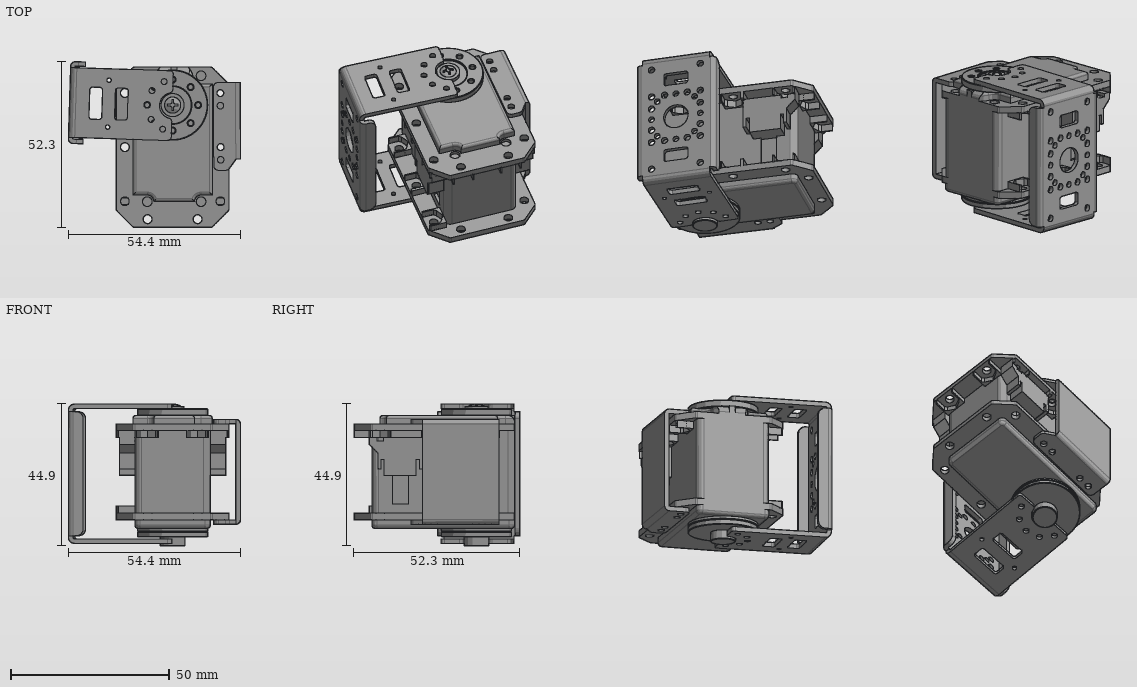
import cadquery as cq
import math


flange_half_width = 17.85
flange_rear = 12.0
flange_front = -38.6
flange_corner = 5.5
flange_corner_radius = 1.0
flange_top = 15.1
flange_thickness = 2.05
flange_inner = flange_top - flange_thickness

body_half_width = 11.9
body_front = -33.0
body_corner_radius = 2.1
base_bottom = -17.9
base_corner_radius = 1.7
base_edge_radius = 1.1

mount_hole_radius = 1.35
side_hole_x = 15.05
side_hole_rear = 3.8
side_hole_pitch = 17.1
side_hole_ys = [side_hole_rear - i * side_hole_pitch for i in range(3)]
front_hole_x = 7.9
front_hole_y = -36.0

boss_half_width = 3.5
boss_height = 2.3
boss_depth = 5.95
channel_half_width = 3.075
channel_end = 0.9
nut_half_width = 2.42
nut_shoulder = 1.7
nut_tip = 2.95
middle_boss_extension = 0.55

cover_top = 17.8
cover_half_width = 12.5
cover_rear = 6.7
cover_edge_radius = 0.9
screw_mid_x = 0.5
screw_half_spacing = 8.5
screw_front_y = -30.45
screw_rear_y = 9.25
screw_recess_radius = 1.5
screw_recess_depth = 1.1
front_notch_radius = 2.05
lobe_radius = 6.35
lobe_center_y = 7.5
lobe_rear_radius = 2.05
key_width = 1.9
key_length = 1.95

guide_half_width = 16.8
guide_top = flange_inner - boss_height
guide_slot_width = 2.05
guide_slot_depth = 1.05
wall_recess_depth = 1.0
wall_recess_rear = -21.45
wall_recess_front = -26.55
wall_recess_bottom = -10.1
guide_bottom = -1.1

disc_radius = 11.1
disc_chamfer = 0.2
horn_top = 19.95
horn_hole_count = 8
hole_circle_radius = 8.05
horn_hole_radius = 0.8
horn_hole_chamfer = 0.25
horn_recess_radius = 5.9
horn_recess_depth = 0.55
horn_recess_chamfer = 0.2

washer_radius = 3.65
washer_top = 20.6
screw_head_radius = 2.55
screw_rim_height = 0.1
screw_dome_height = 0.7
cross_reach = 1.7
cross_arm_width = 0.55
cross_core_width = 1.4
cross_depth = 0.55

idler_top = -18.9
idler_bottom = -20.55
bush_radius = 3.9
bush_bottom = -23.45
bush_chamfer = 0.2

sheet = 1.45
tight_bend_radius = 1.5

arm_bend_radius = 2.0
hinge_angle = -1.8
hinge_offset_y = -0.19
hinge_top = 21.45
hinge_bottom = -22.6
hinge_mid = (hinge_top + hinge_bottom) / 2
hinge_back = -32.6
hinge_end = -0.1
hinge_half_width = 11.05
hinge_corner_radius = 1.1
pivot_notch_radius = 4.15
web_half_width = 12.95
wing_half_height = 19.6
wing_end = -27.85
wing_corner_radius = 2.2
arm_hole_radius = 0.9
arm_hole_step = 34.4
arm_small_hole_x = -20.3
arm_small_hole_y = 7.4
arm_small_hole_radius = 0.65
arm_slot_xs = (-24.25, -16.15)
arm_slot_width = 3.95
arm_slot_length = 10.05
slot_corner_radius = 0.8
web_slot_length = 7.9
web_slot_width = 4.2
web_slot_z = 13.45
web_opening_radius = 4.0
web_pitch = 8.05
web_inner_pitch = 3.75
web_diagonal = 6.15
web_end_hole_z = 17.55
web_hole_radius = 1.05
web_small_hole_radius = 0.9

bracket_angle = 0.3
bracket_inner_x = 12.9
bracket_outer_x = 21.4
bracket_rear = 7.05
bracket_front = -20.65
bracket_web_front = -17.2
bracket_slant_end_x = 17.4
bracket_corner_radius = 1.5
bracket_hole_ys = (3.7, -0.25, -13.3, -17.35)
bracket_hole_radius = 1.05


def prism(points, z_low, z_high):
    """A vertical prism over a closed polygon."""
    return cq.Workplane("XY").workplane(offset=z_low).polyline(points).close().extrude(z_high - z_low)


def block(x_low, x_high, y_low, y_high, z_low, z_high):
    size = (x_high - x_low, y_high - y_low, z_high - z_low)
    return cq.Workplane("XY").box(*size, centered=False).translate((x_low, y_low, z_low))


def rods(points, radius, z_low, z_high):
    """Vertical cylinders at the given places."""
    return (
        cq.Workplane("XY").workplane(offset=z_low).pushPoints(points).circle(radius).extrude(z_high - z_low)
    )


def disc(radius, z_low, z_high):
    return rods([(0, 0)], radius, z_low, z_high)


def polar(radius, degrees):
    angle = math.radians(degrees)
    return (radius * math.cos(angle), radius * math.sin(angle))


def flange_outline():
    shoulder_x = flange_half_width - flange_corner
    return [
        (-shoulder_x, flange_front),
        (shoulder_x, flange_front),
        (flange_half_width, flange_front + flange_corner),
        (flange_half_width, flange_rear - flange_corner),
        (shoulder_x, flange_rear),
        (-shoulder_x, flange_rear),
        (-flange_half_width, flange_rear - flange_corner),
        (-flange_half_width, flange_front + flange_corner),
    ]


def flange_plate(z_low, z_high):
    return prism(flange_outline(), z_low, z_high).edges("|Z").fillet(flange_corner_radius)


def nut_boss(extension=0):
    """Boss on the inner face of the upper flange, around a hole at its origin and open toward -X.

    The nut pocket ends in a point and is reached through a wider channel. An extension thickens
    the wall on the -Y side.
    """
    outer_x = side_hole_x - flange_half_width
    low = flange_inner - boss_height
    wall_front = -boss_half_width - extension
    wall = block(outer_x, outer_x + boss_depth, wall_front, boss_half_width, low, flange_inner)
    pocket = prism(
        [
            (outer_x, -channel_half_width),
            (channel_end, -channel_half_width),
            (nut_shoulder, -nut_half_width),
            (nut_tip, 0),
            (nut_shoulder, nut_half_width),
            (channel_end, channel_half_width),
            (outer_x, channel_half_width),
        ],
        low,
        flange_inner,
    )
    return wall.cut(pocket)


def left_bosses():
    """The upper bosses along the -X edge; the middle one has a thicker front wall."""
    extensions = (0, middle_boss_extension, 0)
    return [
        nut_boss(extension).translate((-side_hole_x, y, 0))
        for y, extension in zip(side_hole_ys, extensions)
    ]


def front_bosses():
    turned = nut_boss().rotate((0, 0, 0), (0, 0, 1), 90)
    return [turned.translate((x, front_hole_y, 0)) for x in (-front_hole_x, front_hole_x)]


def all_bosses():
    """The upper flange has bosses on three edges, the lower one only along the -X edge."""
    left = left_bosses()
    right = [boss.mirror("YZ") for boss in left]
    lower = [boss.mirror("XY") for boss in left]
    return left + right + front_bosses() + lower


def mounting_flanges():
    envelope = flange_plate(-flange_top, flange_top)
    flanges = flange_plate(flange_inner, flange_top).union(flange_plate(-flange_top, -flange_inner))
    for boss in all_bosses():
        flanges = flanges.union(boss.intersect(envelope))
    hole_places = [(sx * side_hole_x, y) for sx in (-1, 1) for y in side_hole_ys]
    hole_places += [(sx * front_hole_x, front_hole_y) for sx in (-1, 1)]
    return flanges.cut(rods(hole_places, mount_hole_radius, -flange_top, flange_top))


def case_body():
    body = block(
        -body_half_width, body_half_width, body_front, flange_rear, -flange_inner, flange_inner
    )
    body = body.edges("|Z").fillet(body_corner_radius)
    base = block(-body_half_width, body_half_width, body_front, flange_rear, base_bottom, -flange_inner)
    base = base.edges("|Z").fillet(base_corner_radius).faces("<Z").edges().fillet(base_edge_radius)
    boss = disc(disc_radius, idler_top, base_bottom).faces("<Z").chamfer(disc_chamfer)
    return body.union(base).union(boss)


def wall_recess(side):
    """Shallow pocket in a side wall, below the cable guide."""
    x_low, x_high = sorted((side * (body_half_width - wall_recess_depth), side * body_half_width))
    return block(
        x_low, x_high, wall_recess_front, wall_recess_rear, wall_recess_bottom, guide_bottom
    )


def cable_guides():
    """Blocks on both side walls, with a tab at each end of their lower edge."""
    guide_front = side_hole_ys[-1] - boss_half_width
    outline = [
        (-16.9, guide_top),
        (-16.9, 0.9),
        (-17.95, 0.9),
        (-17.95, 3.95),
        (-19.0, 3.95),
        (-19.0, guide_bottom),
        (-29.2, guide_bottom),
        (-29.2, 3.95),
        (-30.1, 3.95),
        (-30.1, 0.9),
        (-31.05, 0.9),
        (-31.05, 5.9),
        (guide_front, 8.65),
        (guide_front, guide_top),
    ]
    guides = (
        cq.Workplane("YZ").polyline(outline).close().extrude(guide_half_width, both=True)
    )
    slot_y = side_hole_ys[-1]
    slot = block(
        -guide_half_width,
        guide_half_width,
        slot_y - guide_slot_width / 2,
        slot_y + guide_slot_width / 2,
        guide_top - guide_slot_depth,
        guide_top,
    )
    core = block(
        -body_half_width,
        body_half_width,
        flange_front,
        flange_rear,
        -flange_inner,
        flange_inner,
    )
    return guides.cut(slot).cut(core)


def top_cover():
    """Raised cover with notches around its four screws and a rounded lobe at the rear."""
    left_screw = screw_mid_x - screw_half_spacing
    right_screw = screw_mid_x + screw_half_spacing
    corner_y = screw_front_y + front_notch_radius
    rear_notch_radius = screw_rear_y - cover_rear
    lobe_end_x = screw_half_spacing - rear_notch_radius
    front_x, front_y = polar(front_notch_radius, 45)
    rear_x, rear_y = polar(rear_notch_radius, 45)
    outline = (
        cq.Workplane("XY")
        .workplane(offset=flange_top)
        .moveTo(-cover_half_width, corner_y)
        .lineTo(left_screw, corner_y)
        .threePointArc(
            (left_screw + front_x, screw_front_y + front_y),
            (left_screw + front_notch_radius, screw_front_y),
        )
        .lineTo(right_screw - front_notch_radius, screw_front_y)
        .threePointArc((right_screw - front_x, screw_front_y + front_y), (right_screw, corner_y))
        .lineTo(cover_half_width, corner_y)
        .lineTo(cover_half_width, cover_rear)
        .lineTo(right_screw, cover_rear)
        .threePointArc(
            (right_screw - rear_x, screw_rear_y - rear_y), (screw_mid_x + lobe_end_x, screw_rear_y)
        )
        .threePointArc(
            (screw_mid_x, lobe_center_y + lobe_radius), (screw_mid_x - lobe_end_x, screw_rear_y)
        )
        .threePointArc((left_screw + rear_x, screw_rear_y - rear_y), (left_screw, cover_rear))
        .lineTo(-cover_half_width, cover_rear)
        .close()
    )
    cover = outline.extrude(cover_top - flange_top).faces(">Z").edges().fillet(cover_edge_radius)
    rear_limit = block(
        -cover_half_width, cover_half_width, body_front, flange_rear, flange_top, cover_top
    )
    rear_limit = rear_limit.edges("|X").edges(">Y and >Z").fillet(lobe_rear_radius)
    key = block(
        screw_mid_x - key_width / 2,
        screw_mid_x + key_width / 2,
        flange_rear - key_length,
        flange_rear,
        flange_top,
        cover_top,
    )
    return cover.intersect(rear_limit).union(key)


def screw_recesses():
    places = [
        (screw_mid_x + side * screw_half_spacing, y)
        for side in (-1, 1)
        for y in (screw_front_y, screw_rear_y)
    ]
    return rods(places, screw_recess_radius, flange_top - screw_recess_depth, flange_top)


def servo_case():
    case = case_body().union(mounting_flanges()).union(top_cover()).union(cable_guides())
    case = case.cut(screw_recesses())
    for side in (-1, 1):
        case = case.cut(wall_recess(side))
    return case


def output_horn():
    horn = disc(disc_radius, cover_top, horn_top).edges().chamfer(disc_chamfer)
    recess_floor = horn_top - horn_recess_depth
    recess = disc(horn_recess_radius + horn_recess_chamfer, recess_floor, horn_top)
    recess = recess.faces("<Z").chamfer(horn_recess_chamfer)
    places = [polar(hole_circle_radius, i * 360 / horn_hole_count) for i in range(horn_hole_count)]
    horn = horn.cut(recess)
    for x, y in places:
        horn = horn.cut(chamfered_hole_tool().translate((x, y, 0)))
    return horn


def chamfered_hole_tool():
    """A through hole of the horn, widened by a chamfer at its top."""
    wide_radius = horn_hole_radius + horn_hole_chamfer
    return (
        cq.Workplane("XZ")
        .polyline(
            [
                (0, cover_top),
                (horn_hole_radius, cover_top),
                (horn_hole_radius, horn_top - horn_hole_chamfer),
                (wide_radius, horn_top),
                (0, horn_top),
            ]
        )
        .close()
        .revolve()
    )


def horn_washer():
    return disc(washer_radius, horn_top - horn_recess_depth, washer_top)


def horn_screw():
    """Domed screw head with a cross recess, standing on the washer."""
    rim_z = washer_top + screw_rim_height
    apex_z = rim_z + screw_dome_height
    sphere_radius = (screw_head_radius**2 + screw_dome_height**2) / (2 * screw_dome_height)
    half_angle = math.degrees(math.asin(screw_head_radius / sphere_radius)) / 2
    mid_x, mid_z = polar(sphere_radius, 90 - half_angle)
    head = (
        cq.Workplane("XZ")
        .moveTo(0, washer_top)
        .lineTo(screw_head_radius, washer_top)
        .lineTo(screw_head_radius, rim_z)
        .threePointArc((mid_x, apex_z - sphere_radius + mid_z), (0, apex_z))
        .close()
        .revolve()
    )
    floor_z = apex_z - cross_depth
    half_core = cross_core_width / 2
    half_arm = cross_arm_width / 2
    core = block(-half_core, half_core, -half_core, half_core, floor_z, apex_z)
    core = core.rotate((0, 0, 0), (0, 0, 1), 45)
    along_x = block(-cross_reach, cross_reach, -half_arm, half_arm, floor_z, apex_z)
    along_y = along_x.rotate((0, 0, 0), (0, 0, 1), 90)
    return head.cut(core).cut(along_x).cut(along_y)


def idler_disc():
    return disc(disc_radius, idler_bottom, idler_top).edges().chamfer(disc_chamfer)


def idler_bush():
    return disc(bush_radius, bush_bottom, idler_bottom).faces("<Z").chamfer(bush_chamfer)


def rounded_slots(plane, places, width, height, depth):
    """Rounded rectangular cutters through both sides of a plane."""
    slots = cq.Workplane(plane).pushPoints(places).rect(width, height).extrude(depth, both=True)
    return slots.edges("|Z" if plane == "XY" else "|X").fillet(slot_corner_radius)


def hinge_arms():
    outer = block(
        hinge_back, hinge_end, -hinge_half_width, hinge_half_width, hinge_bottom, hinge_top
    )
    outer = outer.edges("|Y and <X").fillet(arm_bend_radius)
    inner = block(
        hinge_back + sheet,
        hinge_end,
        -hinge_half_width,
        hinge_half_width,
        hinge_bottom + sheet,
        hinge_top - sheet,
    )
    inner = inner.edges("|Y and <X").fillet(arm_bend_radius - sheet)
    arms = outer.cut(inner).edges("|Z and >X").fillet(hinge_corner_radius)
    arms = arms.cut(disc(pivot_notch_radius, hinge_bottom, hinge_top))
    notch_edges = cq.selectors.BoxSelector(
        (hinge_end - 0.55, -pivot_notch_radius - 0.55, hinge_bottom),
        (hinge_end + 0.55, pivot_notch_radius + 0.55, hinge_top),
    )
    return arms.edges("|Z").edges(notch_edges).fillet(hinge_corner_radius)


def hinge_arm_cuts():
    ring = [polar(hole_circle_radius, 180 + i * arm_hole_step) for i in range(-2, 3)]
    small = [(arm_small_hole_x, side * arm_small_hole_y) for side in (-1, 1)]
    slot_places = [(x, 0) for x in arm_slot_xs]
    cuts = rounded_slots("XY", slot_places, arm_slot_width, arm_slot_length, -hinge_bottom)
    cuts = cuts.union(rods(ring, arm_hole_radius, hinge_bottom, hinge_top))
    return cuts.union(rods(small, arm_small_hole_radius, hinge_bottom, hinge_top))


def hinge_web():
    """Back plate with its two bent wings."""
    z_low = hinge_mid - wing_half_height
    z_high = hinge_mid + wing_half_height
    outer = block(hinge_back, wing_end, -web_half_width, web_half_width, z_low, z_high)
    outer = outer.edges("|Z and <X").fillet(tight_bend_radius)
    inner_half_width = web_half_width - sheet
    inner = block(hinge_back + sheet, wing_end, -inner_half_width, inner_half_width, z_low, z_high)
    return outer.cut(inner).edges("|Y and >X").fillet(wing_corner_radius)


def web_holes(places, radius):
    """Holes along X through the back plate; places are (Y, height above the hinge middle)."""
    return (
        cq.Workplane("YZ", origin=(hinge_back, 0, hinge_mid))
        .pushPoints(places)
        .circle(radius)
        .extrude(sheet)
    )


def hinge_web_cuts():
    signs = [(sy, sz) for sy in (-1, 1) for sz in (-1, 1)]
    large = [(sy * web_pitch, sz * web_pitch) for sy, sz in signs]
    large += [(sy * web_pitch, sz * web_inner_pitch) for sy, sz in signs]
    large += [(sy * web_inner_pitch, sz * web_pitch) for sy, sz in signs]
    large += [(sy * web_pitch, sz * web_end_hole_z) for sy, sz in signs]
    small = [(sy * web_diagonal, sz * web_diagonal) for sy, sz in signs]
    small += [(side * web_pitch, 0) for side in (-1, 1)]
    small += [(0, side * web_pitch) for side in (-1, 1)]
    slot_places = [(0, side * web_slot_z) for side in (-1, 1)]
    slots = rounded_slots("YZ", slot_places, web_slot_length, web_slot_width, sheet)
    cuts = slots.translate((hinge_back, 0, hinge_mid))
    cuts = cuts.union(web_holes(large, web_hole_radius))
    cuts = cuts.union(web_holes(small, web_small_hole_radius))
    return cuts.union(web_holes([(0, 0)], web_opening_radius))


def hinge_frame():
    frame = hinge_arms().cut(hinge_arm_cuts()).union(hinge_web()).cut(hinge_web_cuts())
    return frame.rotate((0, 0, 0), (0, 0, 1), hinge_angle).translate((0, hinge_offset_y, 0))


def side_bracket():
    """C-shaped bracket that clasps both flanges."""
    half_height = flange_top + sheet
    outer = block(
        bracket_inner_x, bracket_outer_x, bracket_front, bracket_rear, -half_height, half_height
    )
    outer = outer.edges("|Y and >X").fillet(tight_bend_radius)
    inner = block(
        bracket_inner_x, bracket_outer_x - sheet, bracket_front, bracket_rear, -flange_top, flange_top
    )
    outline = prism(
        [
            (bracket_inner_x, bracket_rear),
            (bracket_outer_x, bracket_rear),
            (bracket_outer_x, bracket_web_front),
            (bracket_outer_x - sheet, bracket_web_front),
            (bracket_slant_end_x, bracket_front),
            (bracket_inner_x, bracket_front),
        ],
        -half_height,
        half_height,
    )
    outline = outline.edges("|Z and <X").fillet(bracket_corner_radius)
    slant_end = (bracket_slant_end_x, bracket_front, 0)
    outline = outline.edges(cq.selectors.NearestToPointSelector(slant_end)).fillet(bracket_corner_radius)
    hole_places = [(side_hole_x, y) for y in bracket_hole_ys]
    holes = rods(hole_places, bracket_hole_radius, -half_height, half_height)
    bracket = outer.cut(inner).intersect(outline).cut(holes)
    return bracket.rotate((0, 0, 0), (0, 0, 1), bracket_angle)


case = servo_case()
horn = output_horn()
washer = horn_washer()
screw = horn_screw()
idler = idler_disc()
bush = idler_bush()
hinge = hinge_frame()
bracket = side_bracket()

result = cq.Compound.makeCompound(
    [
        case.val(),
        horn.val(),
        washer.val(),
        screw.val(),
        idler.val(),
        bush.val(),
        hinge.val(),
        bracket.val(),
    ]
)